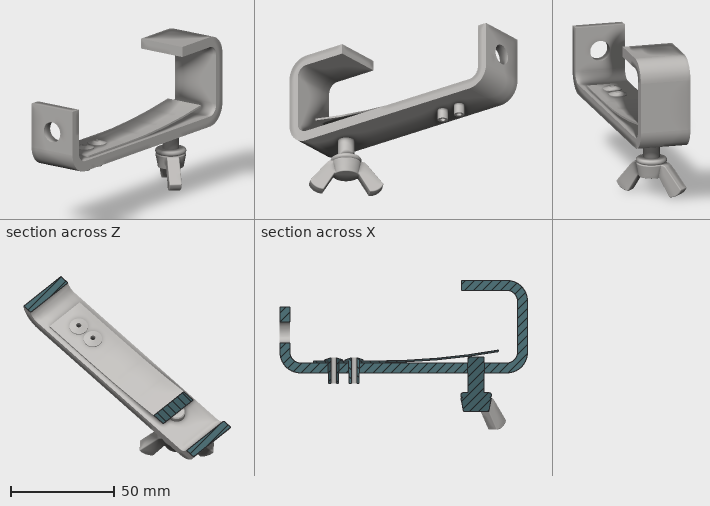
import cadquery as cq
import math


LENGTH = 120.0
STRAP_WIDTH = 25.0
STRAP_THICKNESS = 5.0
OUTER_BEND = 2 * STRAP_THICKNESS
INNER_BEND = OUTER_BEND - STRAP_THICKNESS
REAR_HEIGHT = 45.0
FRONT_HEIGHT = 32.0
ARM_LENGTH = 32.2
WALL_HOLE_DIAMETER = 10.0
WALL_HOLE_HEIGHT = 19.7

SPRING_WIDTH = 20.0
SPRING_THICKNESS = 1.0
SPRING_START = 16.1
SPRING_FLAT = 30.0
SPRING_ARC_SPAN = 60.0
SPRING_RADIUS = 342.0

RIVET_FIRST_Y = 26.0
RIVET_PITCH = 10.0
RIVET_COUNT = 2
RIVET_POSITIONS = [RIVET_FIRST_Y + i * RIVET_PITCH for i in range(RIVET_COUNT)]
RIVET_DIAMETER = 5.0
RIVET_BORE = 2.5
RIVET_HEAD_DIAMETER = 9.0
RIVET_HEAD_TOP_DIAMETER = 3.1
RIVET_RIM_HEIGHT = 0.5
RIVET_CONE_HEIGHT = 1.0
RIVET_PROTRUSION = 5.0

SCREW_Y = 95.0
SHAFT_DIAMETER = 8.0
SHAFT_TOP = 7.9
SHAFT_CHAMFER = 0.5
COLLAR_RADIUS = 7.5
COLLAR_TOP = -9.4
COLLAR_HEIGHT = 2.5
HUB_TOP = COLLAR_TOP - COLLAR_HEIGHT
HUB_TOP_RADIUS = 7.5
HUB_BOTTOM_RADIUS = 6.2
HUB_HEIGHT = 6.8
HUB_TOP_ROUND = 0.5
HUB_BOTTOM_ROUND = 0.4
HUB_BOTTOM = HUB_TOP - HUB_HEIGHT

WING_ANGLE = 135.0
WING_THICKNESS = 6.0
WING_ROOT_RADIUS = 3.6
WING_INNER_RADIUS = 6.0
WING_SHOULDER_RADIUS = 8.8
WING_SHOULDER_ROUND = 3.0
WING_TIP_RADIUS = 18.0
WING_TIP_Z = -23.0
WING_BOTTOM_RADIUS = 11.4
WING_BOTTOM_Z = -27.5
WING_TIP_ROUND = 0.6
WING_EDGE_ROUND = 0.5


def vertical_cylinder(diameter, y, bottom, top):
    return cq.Workplane("XY", origin=(0, y, bottom)).circle(diameter / 2).extrude(top - bottom)


def make_bracket():
    inner_rear = LENGTH - STRAP_THICKNESS
    arm_underside = REAR_HEIGHT - STRAP_THICKNESS
    arm_end = LENGTH - ARM_LENGTH
    strap = (
        cq.Workplane("YZ")
        .moveTo(0, FRONT_HEIGHT)
        .lineTo(0, OUTER_BEND)
        .radiusArc((OUTER_BEND, 0), -OUTER_BEND)
        .lineTo(LENGTH - OUTER_BEND, 0)
        .radiusArc((LENGTH, OUTER_BEND), -OUTER_BEND)
        .lineTo(LENGTH, REAR_HEIGHT - OUTER_BEND)
        .radiusArc((LENGTH - OUTER_BEND, REAR_HEIGHT), -OUTER_BEND)
        .lineTo(arm_end, REAR_HEIGHT)
        .lineTo(arm_end, arm_underside)
        .lineTo(LENGTH - OUTER_BEND, arm_underside)
        .radiusArc((inner_rear, REAR_HEIGHT - OUTER_BEND), INNER_BEND)
        .lineTo(inner_rear, OUTER_BEND)
        .radiusArc((LENGTH - OUTER_BEND, STRAP_THICKNESS), INNER_BEND)
        .lineTo(OUTER_BEND, STRAP_THICKNESS)
        .radiusArc((STRAP_THICKNESS, OUTER_BEND), INNER_BEND)
        .lineTo(STRAP_THICKNESS, FRONT_HEIGHT)
        .close()
        .extrude(STRAP_WIDTH / 2, both=True)
    )
    wall_hole = (
        cq.Workplane("XZ", origin=(0, 0, WALL_HOLE_HEIGHT))
        .circle(WALL_HOLE_DIAMETER / 2)
        .extrude(-STRAP_THICKNESS)
    )
    strap = strap.cut(wall_hole)
    strap = strap.cut(vertical_cylinder(SHAFT_DIAMETER, SCREW_Y, 0, STRAP_THICKNESS))
    for y in RIVET_POSITIONS:
        strap = strap.cut(vertical_cylinder(RIVET_DIAMETER, y, 0, STRAP_THICKNESS))
    return strap


def make_spring():
    underside = STRAP_THICKNESS
    top = underside + SPRING_THICKNESS
    bend_start = SPRING_START + SPRING_FLAT
    upper_radius = SPRING_RADIUS - SPRING_THICKNESS
    arc_center_z = underside + SPRING_RADIUS
    tip_angle = math.asin(SPRING_ARC_SPAN / SPRING_RADIUS)

    def tip_point(radius):
        return (
            bend_start + radius * math.sin(tip_angle),
            arc_center_z - radius * math.cos(tip_angle),
        )

    leaf = (
        cq.Workplane("YZ")
        .moveTo(SPRING_START, underside)
        .lineTo(bend_start, underside)
        .radiusArc(tip_point(SPRING_RADIUS), -SPRING_RADIUS)
        .lineTo(*tip_point(upper_radius))
        .radiusArc((bend_start, top), upper_radius)
        .lineTo(SPRING_START, top)
        .close()
        .extrude(SPRING_WIDTH / 2, both=True)
    )
    for y in RIVET_POSITIONS:
        leaf = leaf.cut(vertical_cylinder(RIVET_DIAMETER, y, underside, top))
    return leaf


def make_rivet(y):
    head_seat = STRAP_THICKNESS + SPRING_THICKNESS
    rim_top = head_seat + RIVET_RIM_HEIGHT
    head_top = rim_top + RIVET_CONE_HEIGHT
    head_radius = RIVET_HEAD_DIAMETER / 2
    head = (
        cq.Workplane("XZ")
        .moveTo(0, head_seat)
        .lineTo(head_radius, head_seat)
        .lineTo(head_radius, rim_top)
        .lineTo(RIVET_HEAD_TOP_DIAMETER / 2, head_top)
        .lineTo(0, head_top)
        .close()
        .revolve(360, (0, 0, 0), (0, 1, 0))
        .translate((0, y, 0))
    )
    shank = vertical_cylinder(RIVET_DIAMETER, y, -RIVET_PROTRUSION, head_seat)
    bore = vertical_cylinder(RIVET_BORE, y, -RIVET_PROTRUSION, head_top)
    return head.union(shank).cut(bore)


def make_wing():
    """One wing pointing along +X from a screw axis at the origin."""
    arc_radius = (
        (WING_TIP_RADIUS - WING_BOTTOM_RADIUS) ** 2 + (WING_TIP_Z - WING_BOTTOM_Z) ** 2
    ) / (2 * (WING_TIP_Z - WING_BOTTOM_Z))
    blade = (
        cq.Workplane("XZ")
        .moveTo(WING_ROOT_RADIUS, HUB_TOP)
        .lineTo(WING_SHOULDER_RADIUS, HUB_TOP)
        .lineTo(WING_TIP_RADIUS, WING_TIP_Z)
        .radiusArc((WING_BOTTOM_RADIUS, WING_BOTTOM_Z), arc_radius)
        .lineTo(WING_INNER_RADIUS, HUB_BOTTOM)
        .lineTo(WING_ROOT_RADIUS, HUB_BOTTOM)
        .close()
        .extrude(WING_THICKNESS / 2, both=True)
    )
    shoulder = cq.selectors.NearestToPointSelector((WING_SHOULDER_RADIUS, 0, HUB_TOP))
    blade = blade.edges("|Y").edges(shoulder).fillet(WING_SHOULDER_ROUND)
    tip = cq.selectors.NearestToPointSelector((WING_TIP_RADIUS, 0, WING_TIP_Z))
    blade = blade.edges("|Y").edges(tip).fillet(WING_TIP_ROUND)
    return blade.faces("<Y or >Y").edges().fillet(WING_EDGE_ROUND)


def make_wing_screw():
    shaft = vertical_cylinder(SHAFT_DIAMETER, 0, COLLAR_TOP, SHAFT_TOP)
    shaft = shaft.faces(">Z").edges().chamfer(SHAFT_CHAMFER)
    rim_center_radius = COLLAR_RADIUS - COLLAR_HEIGHT / 2
    collar = (
        cq.Workplane("XZ")
        .moveTo(0, HUB_TOP)
        .lineTo(rim_center_radius, HUB_TOP)
        .threePointArc((COLLAR_RADIUS, HUB_TOP + COLLAR_HEIGHT / 2), (rim_center_radius, COLLAR_TOP))
        .lineTo(0, COLLAR_TOP)
        .close()
        .revolve(360, (0, 0, 0), (0, 1, 0))
    )
    hub = (
        cq.Workplane("XY", origin=(0, 0, HUB_BOTTOM))
        .circle(HUB_BOTTOM_RADIUS)
        .workplane(offset=HUB_HEIGHT)
        .circle(HUB_TOP_RADIUS)
        .loft()
    )
    hub = hub.faces(">Z").edges().fillet(HUB_TOP_ROUND)
    hub = hub.faces("<Z").edges().fillet(HUB_BOTTOM_ROUND)
    screw = shaft.union(collar).union(hub)
    for turn in (0, 180):
        screw = screw.union(make_wing().rotate((0, 0, 0), (0, 0, 1), WING_ANGLE + turn))
    return screw.translate((0, SCREW_Y, 0))


bracket = make_bracket()
spring = make_spring()
rivets = [make_rivet(y) for y in RIVET_POSITIONS]
wing_screw = make_wing_screw()

result = cq.Compound.makeCompound(
    [bracket.val(), spring.val(), *[rivet.val() for rivet in rivets], wing_screw.val()]
)